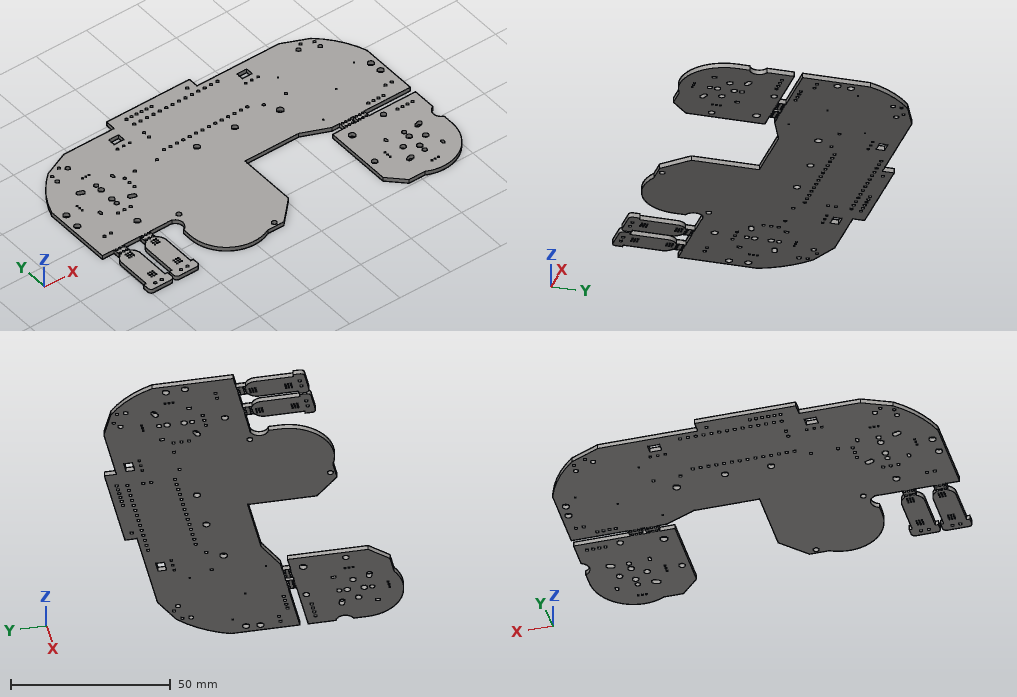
import cadquery as cq
import math


length = 125.0
width = 81.12
thickness = 1.6
right = length / 2
left = -right
top = width / 2
bottom = -top

shoulder_y = 36.7
header_tab_left = -22.7
header_tab_right = 10.15
corner_start_x = 42.6
corner_break = (52.1, 32.55)
corner_mid = (57.75, 26.5)
corner_end_y = 17.3
main_left_bottom = -8.6
main_right_bottom = -4.8
slope_start = (21.5, -0.6)
slope_end_x = 31.5
palm_edge_x = 0.25
palm_corner_y = -22.75
lobe_radius = 14.3
lobe_flat_drop = 12.75
lobe_flat_half = math.sqrt(lobe_radius**2 - lobe_flat_drop**2)
palm_lobe = (-20.6, -18.0)
relief_radius = 3.0
palm_relief = (-35.9, -11.5)

satellite_left = 29.6
satellite_top = -7.45
satellite_chamfer = 5.8
satellite_lobe = (right - lobe_radius, bottom + lobe_radius)
satellite_relief = (63.5, -19.2)

bridge_width = 4.2
strip_neck_width = 3.85
satellite_bridges_x = (36.6, 42.0)
bite_diameter = 0.79
bite_pitch = 1.27
bite_inset = 0.45
strip_neck_length = 2.85

strip_centers_x = (-55.95, -45.75)
strip_width = 7.5
strip_arc_center_y = -14.9
strip_foot_width = 9.5
strip_foot_top = -27.3
strip_bottom = -30.8
strip_foot_radius = 1.3
strip_pin_y = -28.82
via_grid_offset_x = 0.52
via_grid_centers_y = (-13.5, -24.86)
via_grid_count = 3
via_grid_pitch = 0.9

via_diameter = 0.4
signal_diameter = 0.6
led_diameter = 0.8
pin_diameter = 1.0
small_post_diameter = 1.5
post_diameter = 1.6
screw_diameter = 1.8
switch_diameter = 2.0
mount_diameter = 2.2
large_mount_diameter = 2.4

pin_pitch = 2.54
controller_pins = 14
controller_rows_y = (34.43, 19.19)
programming_pitch = 1.99
signal_pitch = 1.3
led_pitch = 2.45
led_window_x = 25.4
led_window_y = 32.06
led_window_size = (3.85, 2.75)
led_pins_y = 28.34

main_switch = (-43.7, 13.55)
satellite_switch = (48.0, -25.57)
switch_inner = 2.72
switch_outer = 5.25
tilted_slot_at = (5.92, 5.53)
tilted_slot_length = 2.9
tilted_slot_width = 1.65
tilted_slot_angle = 20
narrow_slot_at = (6.85, 5.7)
narrow_slot_length = 1.6
narrow_slot_width = 0.99
switch_signal_distance = 10.6

programming_center = (-12.02, 37.73)
programming_lone_pin = (7.06, 37.75)
resistor_y = 16.79
resistor_lead_x = (21.18, 29.96)
jack_pins = ((47.9, 32.44), (51.97, 30.61))
triple_pin_pitch = 2.48
triple_below_drop = 9.16
triple_beside_offset = 9.16
left_pair_center = (-55.06, -1.72)
right_pair_center = (58.2, 0.76)
link_pitch = 2.0
link_pins = 4
main_link_center = (50.48, -2.68)
satellite_link_center = (55.95, -10.5)

jack_post = (45.72, 30.72)
jack_small_post = (52.11, 27.81)
palm_screws = ((-31.49, -7.71), (-10.31, -29.17))
center_mount = (7.5, 14.0)
edge_mount = (60.13, 7.3)
upper_edge_mounts = ((-59.68, 13.47), (59.73, 11.8))
switch_mount_drop = 15.73
large_mounts = ((23.78, 11.77), (34.24, -11.52))
peg_distance = 15.8
peg_pair_spacing = 8.96
single_vias = ((32.63, 24.35), (55.73, 15.27), (43.7, 8.85), (31.58, -0.19))


def plate(outline):
    """Full-thickness plate from a closed wire."""
    return outline.close().extrude(thickness)


def box(x_center, x_size, y_low, y_high):
    """Full-thickness rectangular plate."""
    y_center = (y_low + y_high) / 2
    return cq.Workplane("XY").center(x_center, y_center).rect(x_size, y_high - y_low).extrude(thickness)


def disc(center, radius):
    return cq.Workplane("XY").center(*center).circle(radius).extrude(thickness)


def drill(body, diameter, points):
    """Drill plain through holes at the given points."""
    cutter = cq.Workplane("XY").pushPoints(points).circle(diameter / 2).extrude(thickness)
    return body.cut(cutter)


def row(center, pitch, count, vertical=False):
    """Evenly spaced points centred on a point, along X or along Y."""
    steps = [(i - (count - 1) / 2) * pitch for i in range(count)]
    if vertical:
        return [(center[0], center[1] + step) for step in steps]
    return [(center[0] + step, center[1]) for step in steps]


def both_sides(x, y):
    """A point and its mirror image across the YZ plane."""
    return [(x, y), (-x, y)]


def main_board():
    lobe_left = palm_lobe[0] - lobe_radius
    flat_y = palm_lobe[1] - lobe_flat_drop
    flat_start_x = palm_edge_x - (palm_corner_y - flat_y)
    diagonal = lobe_radius / math.sqrt(2)
    outline = (
        cq.Workplane("XY")
        .moveTo(left, main_left_bottom)
        .lineTo(left, corner_end_y)
        .threePointArc((-corner_mid[0], corner_mid[1]), (-corner_break[0], corner_break[1]))
        .lineTo(-corner_start_x, shoulder_y)
        .lineTo(header_tab_left, shoulder_y)
        .lineTo(header_tab_left, top)
        .lineTo(header_tab_right, top)
        .lineTo(header_tab_right, shoulder_y)
        .lineTo(corner_start_x, shoulder_y)
        .lineTo(*corner_break)
        .threePointArc(corner_mid, (right, corner_end_y))
        .lineTo(right, main_right_bottom)
        .lineTo(slope_end_x, main_right_bottom)
        .lineTo(*slope_start)
        .lineTo(palm_edge_x, slope_start[1])
        .lineTo(palm_edge_x, palm_corner_y)
        .lineTo(flat_start_x, flat_y)
        .lineTo(palm_lobe[0] + lobe_flat_half, flat_y)
        .threePointArc((palm_lobe[0] - diagonal, palm_lobe[1] - diagonal), (lobe_left, palm_lobe[1]))
        .lineTo(lobe_left, main_left_bottom)
    )
    return plate(outline).cut(disc(palm_relief, relief_radius))


def satellite_board():
    flat_y = satellite_lobe[1] - lobe_flat_drop
    diagonal = lobe_radius / math.sqrt(2)
    outline = (
        cq.Workplane("XY")
        .moveTo(satellite_left, satellite_top)
        .lineTo(right, satellite_top)
        .lineTo(right, satellite_lobe[1])
        .threePointArc(
            (satellite_lobe[0] + diagonal, satellite_lobe[1] - diagonal),
            (satellite_lobe[0] - lobe_flat_half, flat_y),
        )
        .lineTo(satellite_left + satellite_chamfer, flat_y)
        .lineTo(satellite_left, flat_y + satellite_chamfer)
    )
    return plate(outline).cut(disc(satellite_relief, relief_radius))


def button_strip(x):
    """Round-topped strip with a wider foot, including its neck to the main board."""
    foot = box(x, strip_foot_width, strip_bottom, strip_foot_top)
    foot = foot.edges("|Z and <Y").fillet(strip_foot_radius)
    shank = box(x, strip_width, strip_foot_top, strip_arc_center_y)
    head = disc((x, strip_arc_center_y), strip_width / 2)
    neck = box(x, strip_neck_width, strip_arc_center_y, main_left_bottom)
    return foot.union(shank).union(head).union(neck)


def bite_rows(x, y_high, y_low):
    """Breakaway perforations near both ends of a bridge."""
    ends = (y_high - bite_inset, y_low + bite_inset)
    return [point for y in ends for point in row((x, y), bite_pitch, 3)]


def perforate_bridges(body):
    points = []
    for x in satellite_bridges_x:
        points += bite_rows(x, main_right_bottom, satellite_top)
    for x in strip_centers_x:
        points += bite_rows(x, main_left_bottom, main_left_bottom - strip_neck_length)
    return drill(body, bite_diameter, points)


def drill_strip(body, x):
    body = drill(body, pin_diameter, row((x, strip_pin_y), pin_pitch, 2))
    vias = []
    for y in via_grid_centers_y:
        column = row((x + via_grid_offset_x, y), via_grid_pitch, via_grid_count, vertical=True)
        for point in column:
            vias += row(point, via_grid_pitch, via_grid_count)
    return drill(body, via_diameter, vias)


def cut_switch(body, center, hand, signal_side):
    """Switch footprint; hand mirrors the slots in X, signal_side puts one signal row above or below."""
    x, y = center
    body = drill(body, switch_diameter, [(x, y + switch_inner), (x, y - switch_inner)])
    body = drill(body, post_diameter, [(x, y + switch_outer), (x, y - switch_outer)])
    for turn in (1, -1):
        tilted = (
            cq.Workplane("XY")
            .center(x - hand * turn * tilted_slot_at[0], y + turn * tilted_slot_at[1])
            .slot2D(tilted_slot_length, tilted_slot_width, -hand * tilted_slot_angle)
            .extrude(thickness)
        )
        narrow = (
            cq.Workplane("XY")
            .center(x + hand * turn * narrow_slot_at[0], y + turn * narrow_slot_at[1])
            .slot2D(narrow_slot_length, narrow_slot_width, 90)
            .extrude(thickness)
        )
        body = body.cut(tilted).cut(narrow)
    signals = row((x, y + signal_side * switch_signal_distance), signal_pitch, 3)
    signals += row((x - switch_signal_distance, y), signal_pitch, 3, vertical=True)
    return drill(body, signal_diameter, signals)


def cut_led_windows(body):
    for x in (-led_window_x, led_window_x):
        window = box(
            x,
            led_window_size[0],
            led_window_y - led_window_size[1] / 2,
            led_window_y + led_window_size[1] / 2,
        )
        body = drill(body.cut(window), led_diameter, row((x, led_pins_y), led_pitch, 3))
    return body


def drill_pins(body):
    """Component and connector pins outside the switch footprints."""
    points = []
    for y in controller_rows_y:
        points += row((0, y), pin_pitch, controller_pins)
    first_pin_x = -pin_pitch * (controller_pins - 1) / 2
    points += [(first_pin_x, controller_rows_y[0] - n * pin_pitch) for n in (2, 3)]
    points += row(programming_center, programming_pitch, 6)
    points += [programming_lone_pin]
    for x in resistor_lead_x:
        points += both_sides(x, resistor_y)
    for pin in jack_pins:
        points += both_sides(*pin)
    x, y = main_switch
    points += row((x, y - triple_below_drop), triple_pin_pitch, 3)
    points += row((x + triple_beside_offset, y), triple_pin_pitch, 3, vertical=True)
    points += row(left_pair_center, pin_pitch, 2)
    points += row(right_pair_center, pin_pitch, 2)
    points += row(main_link_center, link_pitch, link_pins)
    points += row(satellite_link_center, link_pitch, link_pins)
    return drill(body, pin_diameter, points)


def drill_mounts(body):
    body = drill(body, post_diameter, both_sides(*jack_post))
    body = drill(body, small_post_diameter, both_sides(*jack_small_post))
    body = drill(body, screw_diameter, palm_screws)
    mounts = both_sides(*center_mount) + both_sides(*edge_mount)
    mounts += upper_edge_mounts
    mounts += [(main_switch[0], main_switch[1] - switch_mount_drop)]
    body = drill(body, mount_diameter, mounts)
    body = drill(body, large_mount_diameter, large_mounts)
    x, y = satellite_switch
    pegs = [(x - peg_distance, y), (x, y + peg_distance)]
    pegs += row(satellite_switch, peg_pair_spacing, 2)
    return drill(body, switch_diameter, pegs)


panel = main_board().union(satellite_board())
for bridge_x in satellite_bridges_x:
    panel = panel.union(box(bridge_x, bridge_width, satellite_top, main_right_bottom))
for strip_x in strip_centers_x:
    panel = panel.union(button_strip(strip_x))

panel = perforate_bridges(panel)
for strip_x in strip_centers_x:
    panel = drill_strip(panel, strip_x)
panel = cut_switch(panel, main_switch, hand=1, signal_side=1)
panel = cut_switch(panel, satellite_switch, hand=-1, signal_side=-1)
panel = cut_led_windows(panel)
panel = drill_pins(panel)
panel = drill_mounts(panel)
result = drill(panel, via_diameter, single_vias)